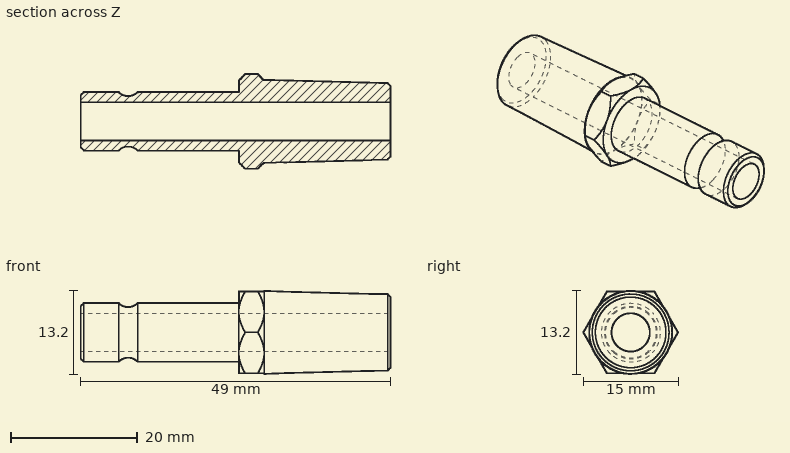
import cadquery as cq
import math

total_length = 49.0
hex_start = 25.0
hex_width = 4.0
hex_end = hex_start + hex_width

stem_radius = 4.65
stem_chamfer = 0.5

groove_center = 7.5
groove_width = 3.0
groove_depth = 0.65
groove_start = groove_center - groove_width / 2
groove_end = groove_center + groove_width / 2

hex_across_corners = 15.0
hex_corner_radius = hex_across_corners / 2
hex_flat_radius = hex_corner_radius * math.cos(math.pi / 6)
hex_chamfer = hex_corner_radius - hex_flat_radius

body_start_diameter = 13.2
body_start_radius = body_start_diameter / 2
body_end_radius = 6.1
body_chamfer = 0.5

bore_diameter = 6.05


def revolve_about_x(profile):
    """Turn a closed profile drawn in the XY plane around the X axis."""
    return profile.close().revolve(360, (0, 0, 0), (1, 0, 0))


def make_stem():
    """Chamfered cylinder with the rounded locking groove."""
    profile = (
        cq.Workplane("XY")
        .lineTo(0, stem_radius - stem_chamfer)
        .lineTo(stem_chamfer, stem_radius)
        .lineTo(groove_start, stem_radius)
        .threePointArc((groove_center, stem_radius - groove_depth), (groove_end, stem_radius))
        .lineTo(hex_start, stem_radius)
        .lineTo(hex_start, 0)
    )
    return revolve_about_x(profile)


def make_hex_collar():
    """Hexagon with flats facing +Z and -Z and corners turned down on both faces."""
    prism = cq.Workplane("YZ", origin=(hex_start, 0, 0)).polygon(6, hex_across_corners).extrude(hex_width)
    turned_envelope = (
        cq.Workplane("YZ", origin=(hex_start, 0, 0))
        .circle(hex_corner_radius)
        .extrude(hex_width)
        .edges()
        .chamfer(hex_chamfer)
    )
    return prism.intersect(turned_envelope)


def make_body():
    """Tapered body narrowing toward a chamfered end."""
    chamfer_start = total_length - body_chamfer
    profile = (
        cq.Workplane("XY")
        .moveTo(hex_end, 0)
        .lineTo(hex_end, body_start_radius)
        .lineTo(chamfer_start, body_end_radius)
        .lineTo(total_length, body_end_radius - body_chamfer)
        .lineTo(total_length, 0)
    )
    return revolve_about_x(profile)


bore = cq.Workplane("YZ").circle(bore_diameter / 2).extrude(total_length)

result = make_stem().union(make_hex_collar()).union(make_body()).cut(bore)